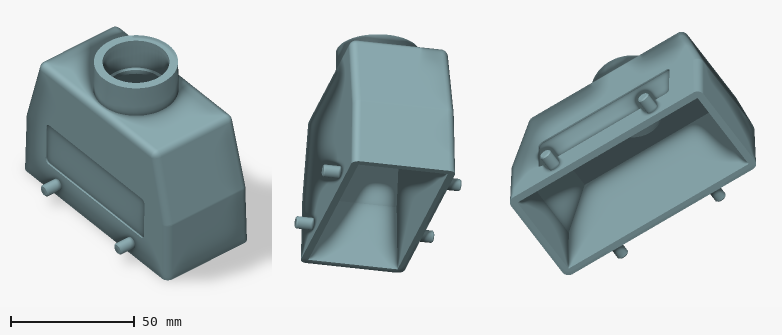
import cadquery as cq
import math

BASE_LENGTH = 93.5
BASE_WIDTH = 43.0
BODY_HEIGHT = 60.0
BEND_HEIGHT = 27.8
END_SLOPE = 15.0
DRAFT = 1.0
EDGE_RADIUS = 3.0

WALL = 3.0
ROOF = 2.0

OVERALL_HEIGHT = 74.0
COLLAR_TOP_DIAMETER = 34.0
BORE_DIAMETER = 27.0
ENTRY_DIAMETER = 24.0

PIN_DIAMETER = 5.0
PIN_SPACING = 47.5
PIN_HEIGHT = 6.0
PIN_CHAMFER = 0.5
PIN_SPAN = 57.0

LABEL_LENGTH = 63.5
LABEL_HEIGHT = 20.0
LABEL_CENTER_HEIGHT = 22.5
LABEL_CORNER_RADIUS = 2.0
LABEL_DEPTH = 0.8


def setback(height, angle):
    """Horizontal distance a wall leaning by angle moves in over a height."""
    return height * math.tan(math.radians(angle))


def tapered_block(half_length, half_width, height):
    """Sharp-edged hood shape: the side outline crossed with the end outline."""
    bend_x = half_length - setback(BEND_HEIGHT, DRAFT)
    top_x = bend_x - setback(height - BEND_HEIGHT, END_SLOPE)
    top_y = half_width - setback(height, DRAFT)
    side = (
        cq.Workplane("XZ")
        .polyline([
            (-half_length, 0),
            (half_length, 0),
            (bend_x, BEND_HEIGHT),
            (top_x, height),
            (-top_x, height),
            (-bend_x, BEND_HEIGHT),
        ])
        .close()
        .extrude(half_width, both=True)
    )
    end = (
        cq.Workplane("YZ")
        .polyline([
            (-half_width, 0),
            (half_width, 0),
            (top_y, height),
            (-top_y, height),
        ])
        .close()
        .extrude(half_length, both=True)
    )
    return side.intersect(end)


def make_body():
    block = tapered_block(BASE_LENGTH / 2, BASE_WIDTH / 2, BODY_HEIGHT)
    return block.edges("not <Z").fillet(EDGE_RADIUS)


def make_cavity():
    return tapered_block(BASE_LENGTH / 2 - WALL, BASE_WIDTH / 2 - WALL, BODY_HEIGHT - ROOF)


def make_label_recess(body):
    """Rounded pocket whose floor lies parallel to the drafted front wall."""
    prism = (
        cq.Workplane("XZ")
        .center(0, LABEL_CENTER_HEIGHT)
        .rect(LABEL_LENGTH, LABEL_HEIGHT)
        .extrude(BASE_WIDTH)
        .edges("|Y")
        .fillet(LABEL_CORNER_RADIUS)
    )
    return prism.cut(body.translate((0, LABEL_DEPTH, 0)))


def make_collar():
    """Drafted collar, widest where it meets the roof; its foot is sunk into the roof."""
    collar_length = OVERALL_HEIGHT - (BODY_HEIGHT - ROOF)
    foot_radius = COLLAR_TOP_DIAMETER / 2 + setback(collar_length, DRAFT)
    return (
        cq.Workplane("XY", origin=(0, 0, BODY_HEIGHT - ROOF))
        .circle(foot_radius)
        .extrude(collar_length, taper=DRAFT)
    )


def make_entry():
    """Collar bore down to the roof, then a smaller hole through the roof."""
    bore = (
        cq.Workplane("XY", origin=(0, 0, BODY_HEIGHT))
        .circle(BORE_DIAMETER / 2)
        .extrude(OVERALL_HEIGHT - BODY_HEIGHT)
    )
    hole = cq.Workplane("XY").circle(ENTRY_DIAMETER / 2).extrude(BODY_HEIGHT)
    return bore.union(hole)


def make_pin(x, side):
    """Chamfered pin rooted halfway through a long wall (side is -1 or +1)."""
    root_y = BASE_WIDTH / 2 - WALL / 2
    pin = (
        cq.Workplane("XY")
        .circle(PIN_DIAMETER / 2)
        .extrude(PIN_SPAN / 2 - root_y)
        .faces(">Z")
        .chamfer(PIN_CHAMFER)
    )
    turn = -90 * side
    return pin.rotate((0, 0, 0), (1, 0, 0), turn).translate((x, side * root_y, PIN_HEIGHT))


body = make_body()
result = body.cut(make_label_recess(body))
result = result.cut(make_cavity())
result = result.union(make_collar())
result = result.cut(make_entry())
for pin_x in (-PIN_SPACING / 2, PIN_SPACING / 2):
    for wall_side in (-1, 1):
        result = result.union(make_pin(pin_x, wall_side))